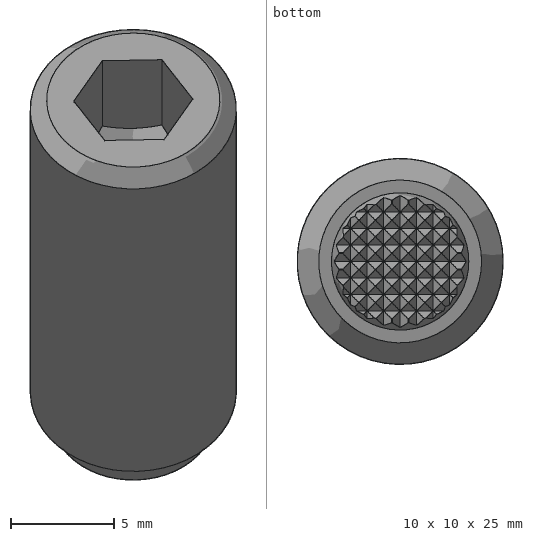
import cadquery as cq
import math

body_radius = 5.0
top_z = 25.0
rim_radius = 4.2
rim_outer_radius = 4.32
rim_height = 0.1
top_chamfer_height = 0.6
neck_radius = 3.95
neck_bottom_z = 0.72
neck_height = 0.9
bottom_chamfer = body_radius - neck_radius

hex_sides = 6
socket_across_flats = 5.0
socket_depth = 5.0
socket_corner_radius = socket_across_flats / 2 / math.cos(math.pi / hex_sides)
drill_point_angle = 120.0
drill_point_depth = socket_corner_radius / math.tan(math.radians(drill_point_angle / 2))

ball_radius = 3.5
flat_radius = 3.0
ball_center_z = math.sqrt(ball_radius**2 - flat_radius**2)

groove_pitch = 0.8
groove_depth = 0.38
grooves_each_side = 3


def ball_shape():
    """Full ball, used for both the ball and the seat that holds it."""
    return cq.Workplane("XY").sphere(ball_radius).translate((0, 0, ball_center_z))


def hex_prism(bottom_z, height):
    """Hexagonal prism on the screw axis, with two corners on the X axis."""
    return (
        cq.Workplane("XY", origin=(0, 0, bottom_z))
        .polygon(hex_sides, 2 * socket_corner_radius)
        .extrude(height)
    )


def hex_socket():
    """Socket cavity: a hexagonal prism ending in a drill point trimmed to the hexagon."""
    floor_z = top_z - socket_depth
    tip_z = floor_z - drill_point_depth
    cone = cq.Solid.makeCone(0, socket_corner_radius, drill_point_depth, pnt=cq.Vector(0, 0, tip_z))
    drill_point = hex_prism(tip_z, drill_point_depth).intersect(cq.Workplane(cone))
    return hex_prism(floor_z, socket_depth).union(drill_point)


def make_screw():
    """Turned body with chamfered ends, hexagon socket and ball seat."""
    neck_top_z = neck_bottom_z + neck_height
    rim_z = top_z - rim_height
    blank = (
        cq.Workplane("XZ")
        .moveTo(0, neck_bottom_z)
        .lineTo(neck_radius, neck_bottom_z)
        .lineTo(neck_radius, neck_top_z)
        .lineTo(body_radius, neck_top_z + bottom_chamfer)
        .lineTo(body_radius, rim_z - top_chamfer_height)
        .lineTo(rim_outer_radius, rim_z)
        .lineTo(rim_radius, top_z)
        .lineTo(0, top_z)
        .close()
        .revolve(360, (0, 0, 0), (0, 1, 0))
    )
    return blank.cut(hex_socket()).cut(ball_shape())


def v_groove(plane, offset):
    """V groove across the flat, running along the normal of the plane."""
    return (
        cq.Workplane(plane)
        .moveTo(offset - groove_depth, 0)
        .lineTo(offset, groove_depth)
        .lineTo(offset + groove_depth, 0)
        .close()
        .extrude(ball_radius, both=True)
    )


def make_ball():
    """Ball cut flat at Z = 0 and serrated in both directions."""
    ball_diameter = 2 * ball_radius
    ball_top_z = ball_center_z + ball_radius
    above_flat = cq.Workplane("XY").box(
        ball_diameter, ball_diameter, ball_top_z, centered=(True, True, False)
    )
    serrated_ball = ball_shape().intersect(above_flat)
    for index in range(-grooves_each_side, grooves_each_side + 1):
        for plane in ("XZ", "YZ"):
            serrated_ball = serrated_ball.cut(v_groove(plane, index * groove_pitch))
    return serrated_ball


screw = make_screw()
ball = make_ball()

result = cq.Compound.makeCompound([screw.solids().val(), ball.solids().val()])